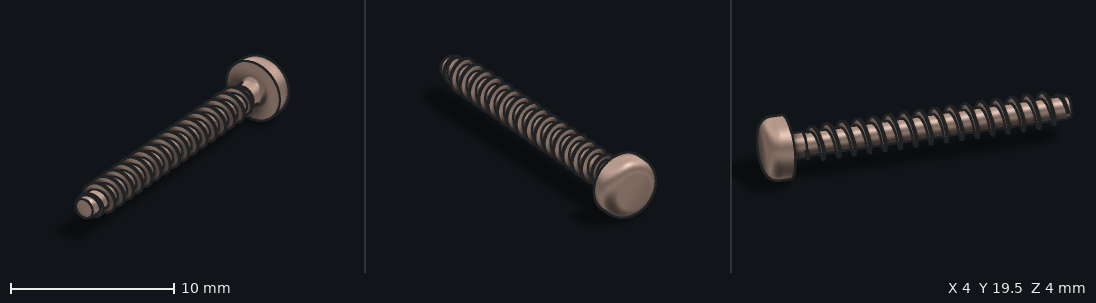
import cadquery as cq
import math


total_length = 19.5

head_radius = 4.0 / 2
head_height = 1.5
head_rounding = 0.78

neck_radius = 0.8
neck_length = 1.1
neck_fillet = 0.33
core_radius = 0.72
tip_radius = 0.65
tip_taper_length = 0.27

crest_radius = 1.1
crest_width = 0.1
flank_half_angle = 15.0
root_depth_in_core = 0.1
thread_start = 1.07
thread_length = 16.67
start_angle = 180.0

lead_in_turns = 1.0
full_turns = 14.75
run_out_turns = 1.25
lead_in_crest_radius = 0.9
run_out_crest_radius = 0.75

tip_z = total_length - head_height
pitch = thread_length / (lead_in_turns + full_turns + run_out_turns)
ridge_height = crest_radius - core_radius + root_depth_in_core
crest_half_width = crest_width / 2
root_half_width = crest_half_width + ridge_height * math.tan(math.radians(flank_half_angle))


def make_body():
    """Head, filleted neck, core and tapered tip as one turned profile."""
    fillet_middle = neck_fillet * (1 - math.sqrt(0.5))
    rounding_middle = head_rounding * (1 - math.sqrt(0.5))
    return (
        cq.Workplane("XZ")
        .moveTo(0, -head_height)
        .lineTo(head_radius - head_rounding, -head_height)
        .threePointArc(
            (head_radius - rounding_middle, -head_height + rounding_middle),
            (head_radius, -head_height + head_rounding),
        )
        .lineTo(head_radius, 0)
        .lineTo(neck_radius + neck_fillet, 0)
        .threePointArc((neck_radius + fillet_middle, fillet_middle), (neck_radius, neck_fillet))
        .lineTo(neck_radius, neck_length)
        .lineTo(core_radius, neck_length)
        .lineTo(core_radius, tip_z - tip_taper_length)
        .lineTo(tip_radius, tip_z)
        .lineTo(0, tip_z)
        .close()
        .revolve(360, (0, 0, 0), (0, 1, 0))
        .val()
    )


def make_helix(start_radius, end_radius, turns, start_z):
    """Right-hand helix from angle zero whose radius changes evenly over its length."""
    height = turns * pitch
    rise = end_radius - start_radius
    if rise == 0:
        helix = cq.Wire.makeHelix(pitch, height, start_radius)
    else:
        slant = math.hypot(height, rise) / height
        cone_angle = math.degrees(math.atan2(rise, height))
        helix = cq.Wire.makeHelix(pitch * slant, height * slant, start_radius, angle=cone_angle)
    return helix.translate(cq.Vector(0, 0, start_z))


def make_ridge(start_crest, end_crest, turns, turns_before):
    """Stretch of thread ridge: four helical faces closed by a flat cap at each end."""
    start_z = thread_start + turns_before * pitch
    corners = [
        (-ridge_height, -root_half_width),
        (0, -crest_half_width),
        (0, crest_half_width),
        (-ridge_height, root_half_width),
    ]
    helices = [
        make_helix(start_crest + radial, end_crest + radial, turns, start_z + axial)
        for radial, axial in corners
    ]
    faces = []
    for index, helix in enumerate(helices):
        faces.extend(cq.Face.makeRuledSurface(helices[index - 1], helix).Faces())
    for position in (0, 1):
        cap_points = [helix.positionAt(position) for helix in helices]
        faces.append(cq.Face.makeFromWires(cq.Wire.makePolygon(cap_points, close=True)))
    ridge = cq.Solid.makeSolid(cq.Shell.makeShell(faces))
    return ridge.fix().rotate((0, 0, 0), (0, 0, 1), start_angle + 360 * turns_before)


def make_thread_ridges():
    """Lead-in, full-height and run-out stretches, end to end."""
    stretches = [
        (lead_in_crest_radius, crest_radius, lead_in_turns),
        (crest_radius, crest_radius, full_turns),
        (crest_radius, run_out_crest_radius, run_out_turns),
    ]
    ridges = []
    turns_before = 0
    for start_crest, end_crest, turns in stretches:
        ridges.append(make_ridge(start_crest, end_crest, turns, turns_before))
        turns_before += turns
    return ridges


screw = make_body().fuse(*make_thread_ridges()).Solids()[0]
result = cq.Workplane(screw).rotate((0, 0, 0), (1, 0, 0), 90)